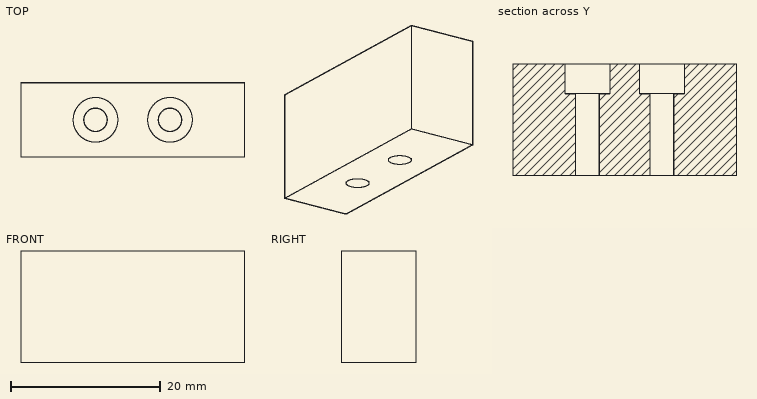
import cadquery as cq

length = 30.0
width = 10.0
height = 15.0

hole_diameter = 3.1
counterbore_diameter = 6.0
counterbore_depth = 4.0
hole_spacing = 10.0

block = cq.Workplane("XY").box(length, width, height, centered=(True, True, False))

hole_centers = [(-hole_spacing / 2, 0), (hole_spacing / 2, 0)]
result = (
    block.faces(">Z")
    .workplane()
    .pushPoints(hole_centers)
    .cboreHole(hole_diameter, counterbore_diameter, counterbore_depth)
)